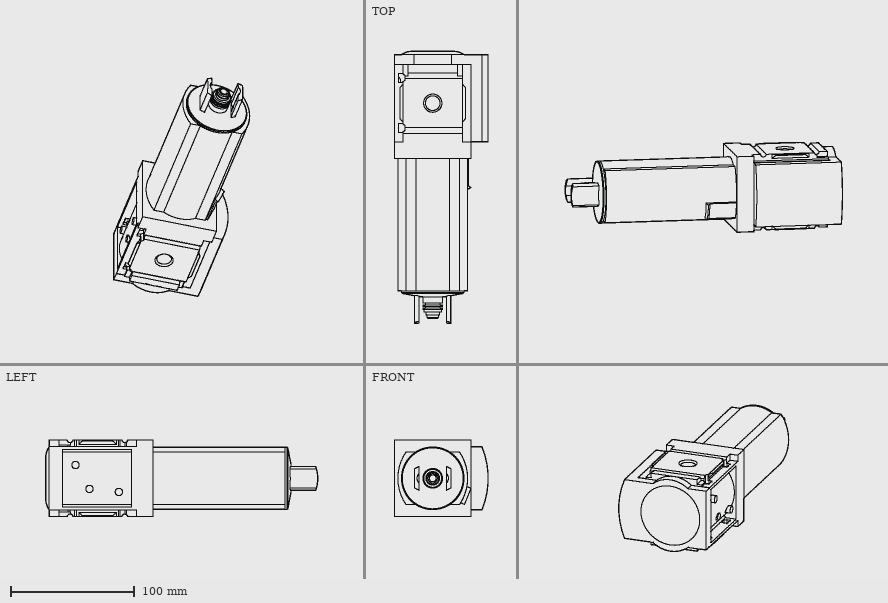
import cadquery as cq
import math


block_half = 31.0
collar_length = 13.6
ledge_half_z = 25.7
cover_half_z = 25.5
plate_start = 76.0
plate_end = 84.0
cover_side_x = 39.8
cover_crest_x = 44.8
plateau_half_x = 24.2
arch_half_x = 15.2
corner_step_depth = 4.0
corner_step_inner_x = 20.0
corner_step_start = 66.8
cap_radius = 25.5
cap_flat_radius = 16.5
cap_top = 86.8

groove_centers = [22.9, 67.0]
groove_width = 4.6
groove_depth = 2.09
lip_outer_x = 26.5
lip_drop = 0.2
lip_root_height = 3.3
lip_edge_height = 0.7
lip_length = 30.3
lip_corner = 2.9
slot_outer_x = 27.5
slot_inner_x = 22.5
slot_length = 7.3
slot_taper_x = 24.6
slot_inner_length = 4.0
slot_centers = [24.8, 65.3]
port_y = 44.8
port_diameter = 11.9
port_mouth_diameter = 14.7
port_depth = 17.5

pocket_start = 17.4
pocket_end = 73.2
pocket_half_z = 23.0
core_radius = 29.5
core_half_z = 21.0
pocket_wall_x = 21.8
pin_diameter = 6.0
pin_places = [
    (62.7, 10.8, block_half),
    (51.5, -8.5, core_radius),
    (27.7, -11.0, block_half),
]

bowl_diameter = 50.3
bowl_half_z = 21.3
bowl_corner_x = 21.5
bowl_crest_x = 28.1
flats_end = -106.6
flange_radius = 25.3
flange_end = -108.8
flange_chamfer = 0.7
cone_tip = -111.5
cone_tip_radius = 10.8

tab_inner_x = 11.0
tab_outer_x = 14.7
tab_inner_half_z = 9.7
tab_outer_half_z = 7.7
tab_end = -133.0
tab_corner_y = -131.2
tab_relief_diameter = 11.0
tab_relief_depth = 1.65

drain_collar_radius = 8.0
drain_neck_radius = 6.0
drain_shoulder_radius = 7.3
drain_nose_radius = 5.5
drain_end_radius = 4.8
drain_tip_radius = 3.7
drain_tip = -128.8
drain_bore_diameter = 5.5
drain_bore_depth = 6.5
drain_steps = [
    (drain_collar_radius, -116.5),
    (drain_neck_radius, -118.3),
    (drain_collar_radius, -119.1),
    (drain_neck_radius, -120.7),
    (drain_collar_radius, -121.8),
    (drain_shoulder_radius, -123.8),
    (drain_nose_radius, -126.0),
    (drain_end_radius, -128.2),
]

slider_tail_x = 22.0
slider_tail_z = -19.5
slider_head_x = 27.3
slider_head_z = -6.5
slider_thickness = 1.8
slider_root = 2.2
nub_thickness = 4.0
nub_start = -21.8
nub_end = -25.0


def box(x0, x1, y0, y1, z0, z1):
    """Box between two opposite corners."""
    return cq.Workplane("XY").box(x1 - x0, y1 - y0, z1 - z0, centered=False).translate((x0, y0, z0))


def along_y(start):
    """Sketch plane square to the bowl axis: local x is X, local y is Z, extrusion runs toward -Y."""
    return cq.Workplane("XZ", origin=(0, start, 0))


def both_faces(shape):
    """The shape and its mirror image on the opposite Z face."""
    return shape.union(shape.mirror("XY"))


def revolved(points):
    """Solid of revolution about Y from (radius, Y) points."""
    return cq.Workplane("XY").polyline(points).close().revolve(360, (0, 0, 0), (0, 1, 0))


def make_head_blank():
    collar = box(-block_half, block_half, 0, collar_length, -block_half, block_half)
    core = box(-block_half, block_half, 0, plate_start, -ledge_half_z, ledge_half_z)
    plateau = box(-plateau_half_x, plateau_half_x, 0, plate_start, -block_half, block_half)
    plate = box(-block_half, cover_side_x, plate_start, plate_end, -cover_half_z, cover_half_z)
    return collar.union(core).union(plateau).union(plate)


def make_cover():
    """Cover on the +X side with a bulged outer face."""
    return (
        along_y(plate_end)
        .moveTo(block_half, -cover_half_z)
        .lineTo(cover_side_x, -cover_half_z)
        .threePointArc((cover_crest_x, 0), (cover_side_x, cover_half_z))
        .lineTo(block_half, cover_half_z)
        .close()
        .extrude(plate_end - collar_length)
    )


def make_arches():
    """Round swell across the +Z and -Z edges of the end plate."""
    arch = (
        along_y(plate_end)
        .moveTo(-arch_half_x, 0)
        .lineTo(-arch_half_x, cover_half_z)
        .threePointArc((0, block_half), (arch_half_x, cover_half_z))
        .lineTo(arch_half_x, 0)
        .close()
        .extrude(plate_end - plate_start)
    )
    return both_faces(arch)


def make_cap():
    """Round cap with a rolled edge on the end of the head."""
    run = cap_radius - cap_flat_radius
    drop = cap_top - plate_end
    edge_radius = (run**2 + drop**2) / (2 * drop)
    half_angle = math.asin(run / edge_radius) / 2
    edge_mid = (
        cap_flat_radius + edge_radius * math.sin(half_angle),
        cap_top - edge_radius * (1 - math.cos(half_angle)),
    )
    return (
        cq.Workplane("XY")
        .moveTo(0, plate_start)
        .lineTo(0, cap_top)
        .lineTo(cap_flat_radius, cap_top)
        .threePointArc(edge_mid, (cap_radius, plate_end))
        .lineTo(cap_radius, plate_start)
        .close()
        .revolve(360, (0, 0, 0), (0, 1, 0))
    )


def make_corner_steps():
    """Cutter for the lowered plateau corners beside the end plate."""
    step = box(
        corner_step_inner_x, plateau_half_x, corner_step_start, plate_start,
        block_half - corner_step_depth, block_half,
    )
    return both_faces(step.union(step.mirror("YZ")))


def make_groove(center):
    """Cutter for one clamping groove across the plateau, with a round floor."""
    groove = (
        cq.Workplane("YZ", origin=(-block_half, 0, 0))
        .moveTo(center - groove_width / 2, block_half)
        .threePointArc((center, block_half - groove_depth), (center + groove_width / 2, block_half))
        .close()
        .extrude(block_half + plateau_half_x)
    )
    return both_faces(groove)


def make_lips():
    """Hooked lips with sloping undersides along both sides of each plateau."""
    top = block_half - lip_drop
    wedge = (
        along_y(port_y + lip_length / 2)
        .polyline([
            (0, top),
            (lip_outer_x, top),
            (lip_outer_x, top - lip_edge_height),
            (plateau_half_x, top - lip_root_height),
            (0, top - lip_root_height),
        ])
        .close()
        .extrude(lip_length)
        .edges("|Z and >X")
        .chamfer(lip_corner, lip_outer_x - plateau_half_x)
    )
    return both_faces(wedge.union(wedge.mirror("YZ")))


def make_slot(center):
    """Cutter for one slot beside the plateau that opens into the rear pocket."""
    half = slot_length / 2
    inner_half = slot_inner_length / 2
    slot = (
        cq.Workplane("XY", origin=(0, center, core_half_z))
        .polyline([
            (-slot_outer_x, half),
            (-slot_taper_x, half),
            (-slot_inner_x, inner_half),
            (-slot_inner_x, -inner_half),
            (-slot_taper_x, -half),
            (-slot_outer_x, -half),
        ])
        .close()
        .extrude(block_half - core_half_z)
    )
    return both_faces(slot)


def make_ports():
    """Cutter for the chamfered blind ports on the +Z and -Z faces."""
    chamfer = (port_mouth_diameter - port_diameter) / 2
    bore = cq.Solid.makeCylinder(
        port_diameter / 2, port_depth, cq.Vector(0, port_y, block_half), cq.Vector(0, 0, -1)
    )
    mouth = cq.Solid.makeCone(
        port_mouth_diameter / 2, port_diameter / 2, chamfer,
        cq.Vector(0, port_y, block_half), cq.Vector(0, 0, -1),
    )
    return both_faces(cq.Workplane(bore).union(cq.Workplane(mouth)))


def make_pocket():
    """Cutter for the pocket on the -X side, whose floor is the round core."""
    core_edge_x = math.sqrt(core_radius**2 - core_half_z**2)
    return (
        along_y(pocket_end)
        .moveTo(-block_half, pocket_half_z)
        .lineTo(-pocket_wall_x, pocket_half_z)
        .lineTo(-core_edge_x, core_half_z)
        .threePointArc((-core_radius, 0), (-core_edge_x, -core_half_z))
        .lineTo(-pocket_wall_x, -pocket_half_z)
        .lineTo(-block_half, -pocket_half_z)
        .close()
        .extrude(pocket_end - pocket_start)
    )


def make_pin(y, z, end_distance):
    """One round stud that stands on the pocket floor, parallel to X."""
    return cq.Workplane(cq.Solid.makeCylinder(
        pin_diameter / 2, end_distance, cq.Vector(0, y, z), cq.Vector(-1, 0, 0)
    ))


def make_head():
    head = make_head_blank().union(make_cover()).union(make_arches()).union(make_cap())
    head = head.cut(make_corner_steps()).union(make_lips())
    for center in groove_centers:
        head = head.cut(make_groove(center))
    head = head.cut(make_pocket())
    for center in slot_centers:
        head = head.cut(make_slot(center))
    for place in pin_places:
        head = head.union(make_pin(*place))
    return head.cut(make_ports())


def make_bowl_shell():
    """Cylinder merged with a flat-topped section whose sides are bulged."""
    flats = (
        along_y(0)
        .moveTo(-bowl_corner_x, bowl_half_z)
        .lineTo(bowl_corner_x, bowl_half_z)
        .threePointArc((bowl_crest_x, 0), (bowl_corner_x, -bowl_half_z))
        .lineTo(-bowl_corner_x, -bowl_half_z)
        .threePointArc((-bowl_crest_x, 0), (-bowl_corner_x, bowl_half_z))
        .close()
        .extrude(-flats_end)
    )
    barrel = along_y(0).circle(bowl_diameter / 2).extrude(-flats_end)
    bottom = revolved([
        (0, flats_end),
        (flange_radius, flats_end),
        (flange_radius, flange_end + flange_chamfer),
        (flange_radius - flange_chamfer, flange_end),
        (cone_tip_radius, cone_tip),
        (0, cone_tip),
    ])
    return flats.union(barrel).union(bottom)


def make_tabs():
    """Two guard tabs, hollowed round on the inside, with a rounded free end."""
    section = (
        along_y(flats_end)
        .polyline([
            (tab_inner_x, tab_inner_half_z),
            (tab_outer_x, tab_outer_half_z),
            (tab_outer_x, -tab_outer_half_z),
            (tab_inner_x, -tab_inner_half_z),
        ])
        .close()
        .extrude(flats_end - tab_end)
    )
    outline = (
        cq.Workplane("YZ")
        .moveTo(flats_end, tab_inner_half_z)
        .lineTo(tab_corner_y, tab_inner_half_z)
        .threePointArc((tab_end, 0), (tab_corner_y, -tab_inner_half_z))
        .lineTo(flats_end, -tab_inner_half_z)
        .close()
        .extrude(tab_outer_x)
    )
    relief_x = tab_inner_x + tab_relief_depth - tab_relief_diameter / 2
    relief = (
        along_y(cone_tip)
        .center(relief_x, 0)
        .circle(tab_relief_diameter / 2)
        .extrude(cone_tip - tab_end)
    )
    tab = section.intersect(outline).cut(relief)
    return tab.union(tab.mirror("YZ"))


def make_drain():
    """Stepped drain valve with ribs and a blind bore."""
    points = [(0, flats_end)]
    step_start = flats_end
    for radius, step_end in drain_steps:
        points += [(radius, step_start), (radius, step_end)]
        step_start = step_end
    points += [(drain_tip_radius, drain_tip), (0, drain_tip)]
    bore = along_y(drain_tip + drain_bore_depth).circle(drain_bore_diameter / 2).extrude(drain_bore_depth)
    return revolved(points).cut(bore)


def make_slider():
    """Release slider laid slanted on the bulged bowl side, ending in a pointed nub."""
    run_x = slider_head_x - slider_tail_x
    run_z = slider_head_z - slider_tail_z
    nub_peak = (nub_start + nub_end) / 2
    cross_section = cq.Plane(
        origin=(slider_tail_x, 0, slider_tail_z),
        xDir=(run_z, 0, -run_x),
        normal=(run_x, 0, run_z),
    )
    return (
        cq.Workplane(cross_section)
        .polyline([
            (-slider_root, 0),
            (slider_thickness, 0),
            (slider_thickness, nub_start),
            (nub_thickness, nub_peak),
            (0, nub_end),
            (-slider_root, nub_end),
        ])
        .close()
        .extrude(math.hypot(run_x, run_z))
    )


def make_bowl():
    return make_bowl_shell().union(make_tabs()).union(make_drain()).union(make_slider())


head = make_head()
bowl = make_bowl()

result = cq.Compound.makeCompound([head.solids().val(), bowl.solids().val()])